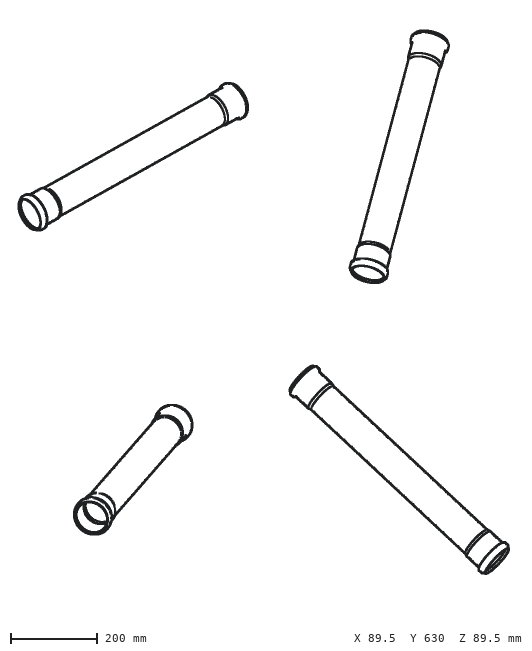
import cadquery as cq

length = 630.0
pipe_outer_diameter = 75.5
pipe_bore_diameter = 71.0
socket_outer_diameter = 80.0
socket_bore_diameter = 76.0
bead_outer_diameter = 89.5
seal_groove_diameter = 85.0
wall_thickness = (socket_outer_diameter - socket_bore_diameter) / 2

bead_start = 5.5
bead_end = 17.5
socket_end = 59.0
taper_end = 67.0

bead_fillet = 2.0
half_length = length / 2


def revolved(outline):
    """Closed outline revolved about the Y axis."""
    return outline.close().revolve(360, (0, 0, 0), (0, 1, 0))


def pipe_core(socket_diameter, pipe_diameter):
    """Full-length round body with a wider cylinder and a taper at each end."""
    socket_radius = socket_diameter / 2
    pipe_radius = pipe_diameter / 2
    socket_y = half_length - socket_end
    taper_y = half_length - taper_end
    return revolved(
        cq.Workplane("XY")
        .moveTo(0, -half_length)
        .lineTo(socket_radius, -half_length)
        .lineTo(socket_radius, -socket_y)
        .lineTo(pipe_radius, -taper_y)
        .lineTo(pipe_radius, taper_y)
        .lineTo(socket_radius, socket_y)
        .lineTo(socket_radius, half_length)
        .lineTo(0, half_length)
    )


def ring(base_diameter, crest_diameter, start, end):
    """Disc at the -Y end that rises from the base cylinder to a flat crest, filleted at root and crest.

    Start and end are the distances of its two side walls from the end face.
    """
    base = base_diameter / 2
    crest = crest_diameter / 2
    start_y = start - half_length
    end_y = end - half_length
    return revolved(
        cq.Workplane("XY")
        .moveTo(0, start_y - bead_fillet)
        .lineTo(base, start_y - bead_fillet)
        .radiusArc((base + bead_fillet, start_y), bead_fillet)
        .lineTo(crest - bead_fillet, start_y)
        .radiusArc((crest, start_y + bead_fillet), -bead_fillet)
        .lineTo(crest, end_y - bead_fillet)
        .radiusArc((crest - bead_fillet, end_y), -bead_fillet)
        .lineTo(base + bead_fillet, end_y)
        .radiusArc((base, end_y + bead_fillet), bead_fillet)
        .lineTo(0, end_y + bead_fillet)
    )


def add_to_both_ends(core, end_ring):
    """Core joined with the ring and its mirror image at the +Y end."""
    return core.union(end_ring).union(end_ring.mirror("XZ"))


bead = ring(socket_outer_diameter, bead_outer_diameter, bead_start, bead_end)

seal_groove = ring(
    socket_bore_diameter,
    seal_groove_diameter,
    bead_start + wall_thickness,
    bead_end - wall_thickness,
)

outside = add_to_both_ends(pipe_core(socket_outer_diameter, pipe_outer_diameter), bead)
inside = add_to_both_ends(pipe_core(socket_bore_diameter, pipe_bore_diameter), seal_groove)

result = outside.cut(inside)